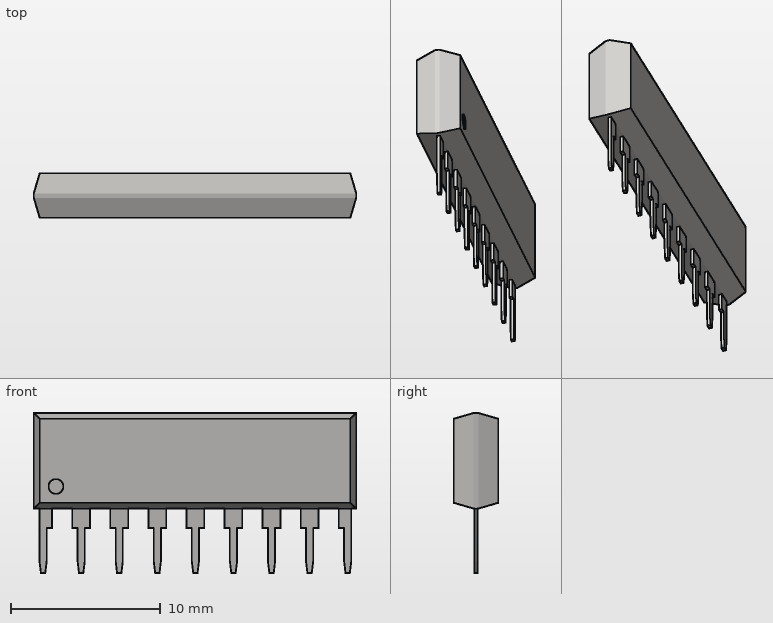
import cadquery as cq

body_length = 21.55
body_thickness = 3.0
body_height = 6.4
band_thickness = 0.3
face_length = 20.75
face_height = 5.62

mark_diameter = 1.0
mark_depth = 0.1
mark_from_end = 1.49
mark_from_bottom = 1.49

pin_count = 9
pin_pitch = 2.55
pin_row_offset = 0.025
pin_thickness = 0.22
pin_length = 4.3
shoulder_width = 1.2
shoulder_length = 1.3
stem_width = 0.5
tip_width = 0.3
tip_length = 0.8
pin_embed = 0.65


def make_body():
    """Parting band with a tapered half on each side; its bottom lies at Z = 0."""
    taper_depth = (body_thickness - band_thickness) / 2
    band = cq.Workplane("XZ").rect(body_length, body_height).extrude(band_thickness / 2, both=True)
    tapered_half = (
        cq.Workplane("XZ", origin=(0, -band_thickness / 2, 0))
        .rect(body_length, body_height)
        .workplane(offset=taper_depth)
        .rect(face_length, face_height)
        .loft(ruled=True)
    )
    body = band.union(tapered_half).union(tapered_half.mirror("XZ"))
    return body.translate((0, 0, body_height / 2))


def make_mark():
    """Cylinder that sinks the pin-one mark into the -Y face."""
    mark_x = mark_from_end - body_length / 2
    return (
        cq.Workplane("XZ", origin=(mark_x, -body_thickness / 2, mark_from_bottom))
        .circle(mark_diameter / 2)
        .extrude(-mark_depth)
    )


def make_pin(center_x, left_shoulder, right_shoulder):
    """Flat pin with a tapered tip; each shoulder is given as its reach from the pin axis."""
    stem = stem_width / 2
    tip = tip_width / 2
    outline = [
        (-left_shoulder, pin_embed),
        (-left_shoulder, -shoulder_length),
        (-stem, -shoulder_length),
        (-stem, tip_length - pin_length),
        (-tip, -pin_length),
        (tip, -pin_length),
        (stem, tip_length - pin_length),
        (stem, -shoulder_length),
        (right_shoulder, -shoulder_length),
        (right_shoulder, pin_embed),
    ]
    corners = list(dict.fromkeys(outline))
    pin = cq.Workplane("XZ").polyline(corners).close().extrude(pin_thickness / 2, both=True)
    return pin.translate((center_x, 0, 0))


result = make_body().cut(make_mark())

last_pin = pin_count - 1
for index in range(pin_count):
    pin_x = pin_row_offset + (index - last_pin / 2) * pin_pitch
    left_reach = stem_width / 2 if index == 0 else shoulder_width / 2
    right_reach = stem_width / 2 if index == last_pin else shoulder_width / 2
    result = result.union(make_pin(pin_x, left_reach, right_reach))